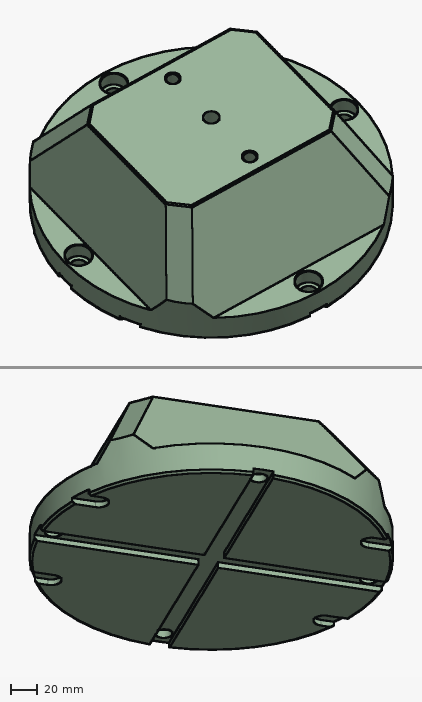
import cadquery as cq
import math

disc_radius = 139.7
disc_height = 25.0
bottom_chamfer = 2.0

total_height = 100.0
body_base_half_x = 113.7
body_base_half_y = 115.4
body_top_half_x = 65.0
body_top_half_y = 80.5
corner_cut = 14.5
top_chamfer = 1.0

bolt_circle_radius = 126.5
bolt_hole_diameter = 13.5
counterbore_diameter = 21.0
counterbore_depth = 13.0
counterbore_chamfer = 0.5

center_hole_diameter = 12.7
side_hole_diameter = 10.2
side_hole_mouth_diameter = 12.0
side_hole_offset = 50.0
top_hole_depth = 25.0
drill_point_angle = 118.0

slot_width = 16.0
slot_depth = 5.0
rim_slot_angle = 60.0


def octagon(half_x, half_y, z):
    """Closed rectangle wire with cut corners at height z."""
    inner_x = half_x - corner_cut
    inner_y = half_y - corner_cut
    points = [
        (half_x, -inner_y, z),
        (half_x, inner_y, z),
        (inner_x, half_y, z),
        (-inner_x, half_y, z),
        (-half_x, inner_y, z),
        (-half_x, -inner_y, z),
        (-inner_x, -half_y, z),
        (inner_x, -half_y, z),
    ]
    return cq.Wire.makePolygon([cq.Vector(*p) for p in points], close=True)


def make_disc():
    disc = cq.Workplane("XY").circle(disc_radius).extrude(disc_height)
    return disc.faces("<Z").edges().chamfer(bottom_chamfer)


def make_body():
    """Tapered block with cut corners, trimmed to the disc's outline."""
    lower = octagon(body_base_half_x, body_base_half_y, disc_height)
    upper = octagon(body_top_half_x, body_top_half_y, total_height)
    block = cq.Workplane(cq.Solid.makeLoft([lower, upper], True))
    block = block.faces(">Z").edges().chamfer(top_chamfer)
    outline = cq.Workplane("XY").circle(disc_radius).extrude(total_height)
    return block.intersect(outline)


def revolve_profile(points):
    """Solid of revolution about Z from (radius, height) points."""
    return cq.Workplane("XZ").polyline(points).close().revolve(360, (0, 0, 0), (0, 1, 0))


def make_mounting_hole():
    """Through hole with a counterbore whose mouth has a small chamfer, on the Z axis."""
    hole_radius = bolt_hole_diameter / 2
    bore_radius = counterbore_diameter / 2
    floor = disc_height - counterbore_depth
    return revolve_profile([
        (0, 0),
        (hole_radius, 0),
        (hole_radius, floor),
        (bore_radius, floor),
        (bore_radius, disc_height - counterbore_chamfer),
        (bore_radius + counterbore_chamfer, disc_height),
        (0, disc_height),
    ])


def drill_tip_length(radius):
    return radius / math.tan(math.radians(drill_point_angle / 2))


def make_center_hole():
    """Blind drilled hole with a conical tip, on the Z axis."""
    radius = center_hole_diameter / 2
    bottom = total_height - top_hole_depth
    return revolve_profile([
        (0, bottom - drill_tip_length(radius)),
        (radius, bottom),
        (radius, total_height),
        (0, total_height),
    ])


def make_side_hole():
    """Blind drilled hole with a conical tip and a 45 degree countersunk mouth, on the Z axis."""
    radius = side_hole_diameter / 2
    mouth_radius = side_hole_mouth_diameter / 2
    bottom = total_height - top_hole_depth
    return revolve_profile([
        (0, bottom - drill_tip_length(radius)),
        (radius, bottom),
        (radius, total_height - (mouth_radius - radius)),
        (mouth_radius, total_height),
        (0, total_height),
    ])


def cut_mounting_holes(part):
    hole = make_mounting_hole().translate((bolt_circle_radius, 0, 0))
    for quarter in range(4):
        part = part.cut(hole.rotate((0, 0, 0), (0, 0, 1), 90 * quarter))
    return part


def cut_top_holes(part):
    part = part.cut(make_center_hole())
    for side in (-1, 1):
        part = part.cut(make_side_hole().translate((side * side_hole_offset, 0, 0)))
    return part


def cut_cross_slots(part):
    """Two slots across the full underside, one along X and one along Y."""
    disc_diameter = 2 * disc_radius
    sizes = [(disc_diameter, slot_width), (slot_width, disc_diameter)]
    for length_x, length_y in sizes:
        slot = cq.Workplane("XY").rect(length_x, length_y).extrude(slot_depth)
        part = part.cut(slot)
    return part


def cut_rim_slots(part):
    """Four slots along Y, open at the rim, each with a round inner end on the bolt circle."""
    end_x = bolt_circle_radius * math.cos(math.radians(rim_slot_angle))
    end_y = bolt_circle_radius * math.sin(math.radians(rim_slot_angle))
    length = disc_radius - end_y
    for side_x in (-1, 1):
        for side_y in (-1, 1):
            center_x = side_x * end_x
            round_end = (
                cq.Workplane("XY").center(center_x, side_y * end_y)
                .circle(slot_width / 2).extrude(slot_depth)
            )
            channel = (
                cq.Workplane("XY").center(center_x, side_y * (end_y + length / 2))
                .rect(slot_width, length).extrude(slot_depth)
            )
            part = part.cut(round_end).cut(channel)
    return part


result = make_disc().union(make_body())
result = cut_cross_slots(result)
result = cut_rim_slots(result)
result = cut_mounting_holes(result)
result = cut_top_holes(result)